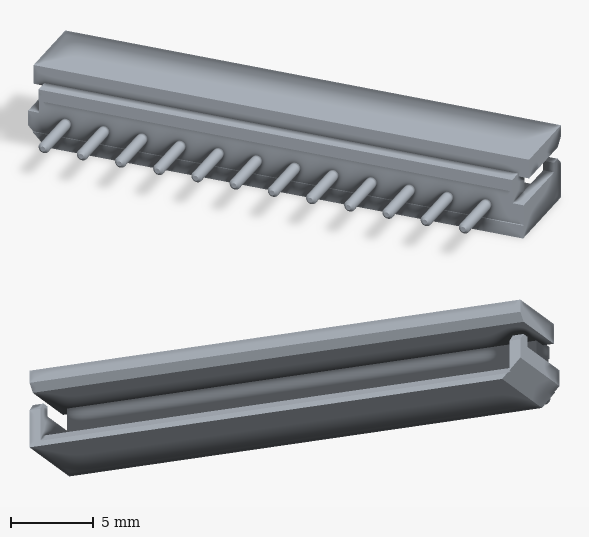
import cadquery as cq

LENGTH = 32.4
HEIGHT = 4.9
BODY_DEPTH = 5.9
TOTAL_DEPTH = 9.4

PLATE_DEPTH = 4.95
PLATE_THICKNESS = 1.25
MOUTH_CHAMFER = 0.5

END_WALL = 0.7
END_WALL_HEIGHT = 2.2
LIP_HEIGHT = 2.85
LIP_DEPTH = 1.07
FLOOR_THICKNESS = 0.8
KEY_CHAMFER = 1.2

WEB_BACK = 4.0
WEB_TOP = 3.82
RECESS_DEPTH = 0.1
RECESS_BOTTOM = 0.87
RECESS_TOP = 3.05

PIN_COUNT = 12
PIN_END_MARGIN = 2.45
PIN_DIAMETER = 0.7
PIN_HEIGHT = 1.78
PIN_TIP_CHAMFER = 0.2

RECESSED_FACE = BODY_DEPTH - RECESS_DEPTH
PIN_PITCH = (LENGTH - 2 * PIN_END_MARGIN) / (PIN_COUNT - 1)
INNER_LENGTH = LENGTH - 2 * END_WALL


def extrude_along_x(profile, length):
    """Extrude a closed (Y, Z) profile along X, centred on X = 0."""
    return cq.Workplane("YZ").polyline(profile).close().extrude(length / 2, both=True)


def make_top_plate():
    underside = HEIGHT - PLATE_THICKNESS
    profile = [
        (-PLATE_DEPTH, HEIGHT),
        (0, HEIGHT),
        (0, underside + MOUTH_CHAMFER),
        (-MOUTH_CHAMFER, underside),
        (-PLATE_DEPTH, underside),
    ]
    return extrude_along_x(profile, LENGTH)


def make_lower_tray():
    end_profile = [
        (0, 0),
        (0, LIP_HEIGHT - MOUTH_CHAMFER),
        (-MOUTH_CHAMFER, LIP_HEIGHT),
        (-LIP_DEPTH, LIP_HEIGHT),
        (-LIP_DEPTH, END_WALL_HEIGHT),
        (-RECESSED_FACE, END_WALL_HEIGHT),
        (-RECESSED_FACE, RECESS_BOTTOM),
        (-BODY_DEPTH, RECESS_BOTTOM),
        (-BODY_DEPTH, 0),
    ]
    pocket_profile = [
        (0, FLOOR_THICKNESS - MOUTH_CHAMFER),
        (-MOUTH_CHAMFER, FLOOR_THICKNESS),
        (-WEB_BACK, FLOOR_THICKNESS),
        (-WEB_BACK, HEIGHT),
        (0, HEIGHT),
    ]
    tray = extrude_along_x(end_profile, LENGTH)
    tray = tray.edges("|Y and <X and <Z").chamfer(KEY_CHAMFER)
    return tray.cut(extrude_along_x(pocket_profile, INNER_LENGTH))


def make_web():
    profile = [
        (-WEB_BACK, FLOOR_THICKNESS),
        (-WEB_BACK, WEB_TOP),
        (-BODY_DEPTH, WEB_TOP),
        (-BODY_DEPTH, RECESS_TOP),
        (-RECESSED_FACE, RECESS_TOP),
        (-RECESSED_FACE, FLOOR_THICKNESS),
    ]
    return extrude_along_x(profile, INNER_LENGTH)


def make_pins():
    """Row of pins rooted in the web and pointing toward -Y."""
    return (
        cq.Workplane("XZ", origin=(0, -WEB_BACK, PIN_HEIGHT))
        .rarray(PIN_PITCH, 0.32, PIN_COUNT, 1)
        .circle(PIN_DIAMETER / 2)
        .extrude(TOTAL_DEPTH - WEB_BACK)
        .faces("<Y")
        .chamfer(PIN_TIP_CHAMFER)
    )


result = make_lower_tray().union(make_web()).union(make_top_plate()).union(make_pins())